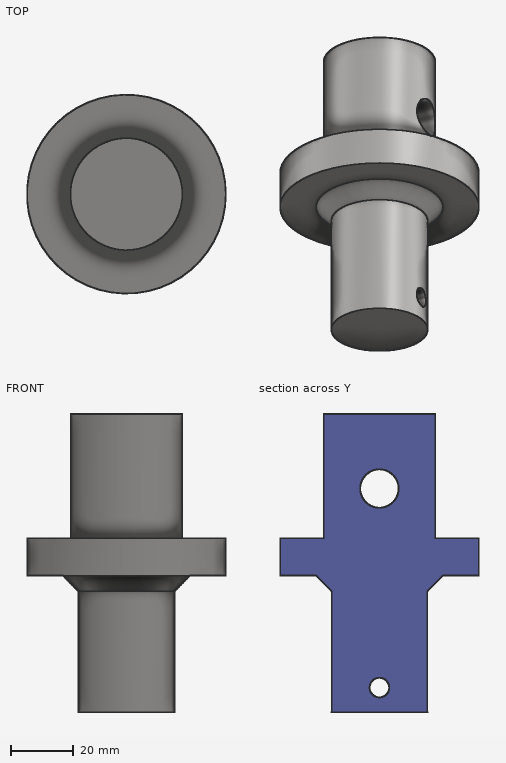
import cadquery as cq

total_height = 96.0
upper_diameter = 36.0
lower_diameter = 31.0
flange_diameter = 64.0
flange_bottom = 44.0
flange_thickness = 12.1
flange_top = flange_bottom + flange_thickness

cone_diameter = 40.8
cone_height = 5.0
cone_bottom = flange_bottom - cone_height

upper_port_diameter = 12.3
upper_port_height = 72.0
lower_port_diameter = 6.2
lower_port_height = 8.0


def revolved_body():
    """Shaft, cone and flange as one half profile (radius, height) turned about Z."""
    profile = [
        (0, 0),
        (lower_diameter / 2, 0),
        (lower_diameter / 2, cone_bottom),
        (cone_diameter / 2, flange_bottom),
        (flange_diameter / 2, flange_bottom),
        (flange_diameter / 2, flange_top),
        (upper_diameter / 2, flange_top),
        (upper_diameter / 2, total_height),
        (0, total_height),
    ]
    return cq.Workplane("XZ").polyline(profile).close().revolve(360, (0, 0, 0), (0, 1, 0))


def radial_port(diameter, height):
    """Cylindrical cutter from the shaft axis out through the +Y side."""
    return (
        cq.Workplane("XZ")
        .center(0, height)
        .circle(diameter / 2)
        .extrude(-upper_diameter)
    )


result = (
    revolved_body()
    .cut(radial_port(upper_port_diameter, upper_port_height))
    .cut(radial_port(lower_port_diameter, lower_port_height))
)